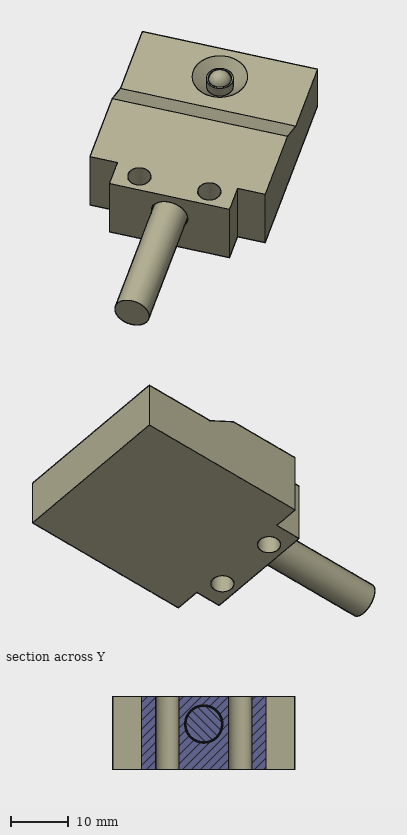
import cadquery as cq

width = 31.75
length = 38.1
height = 12.7
sensing_height = 9.7
sensing_length = 13.8
ramp_length = 5.25
tab_width = 21.75
tab_length = 5.05

mount_diameter = 4.0
mount_spacing = 12.65
mount_setback = 3.0

total_length = 61.75
cable_diameter = 6.25
cable_hole_diameter = 6.6
cable_axis_height = 7.9
cable_hole_depth = 6.2

ball_setback = 6.35
ball_radius = 2.05
ball_rise = 0.85
sleeve_diameter = 4.7
sleeve_recess = 0.5
countersink_diameter = 9.65

ball_y = length - ball_setback
ball_z = sensing_height + ball_rise - ball_radius
sleeve_bottom = ball_z - ball_radius
sleeve_top = sensing_height - sleeve_recess


def upright_cylinder(diameter, bottom, top):
    """Vertical cylinder on the ball axis."""
    return (
        cq.Workplane("XY", origin=(0, ball_y, bottom))
        .circle(diameter / 2)
        .extrude(top - bottom)
    )


def cable_cylinder(diameter, start_y, end_y):
    """Cylinder along Y on the cable axis."""
    return (
        cq.Workplane("XZ", origin=(0, end_y, cable_axis_height))
        .circle(diameter / 2)
        .extrude(end_y - start_y)
    )


def make_countersink():
    """Cone cutter that narrows to the sleeve diameter."""
    top_radius = countersink_diameter / 2
    bottom_radius = sleeve_diameter / 2
    depth = top_radius - bottom_radius
    return cq.Workplane(
        cq.Solid.makeCone(
            bottom_radius, top_radius, depth,
            pnt=cq.Vector(0, ball_y, sensing_height - depth),
        )
    )


def make_housing():
    ramp_end = length - sensing_length
    side_profile = [
        (0, 0),
        (length, 0),
        (length, sensing_height),
        (ramp_end, sensing_height),
        (ramp_end - ramp_length, height),
        (0, height),
    ]
    body = cq.Workplane("YZ").polyline(side_profile).close().extrude(width / 2, both=True)

    notch_width = (width - tab_width) / 2
    for side in (-1, 1):
        notch_x = side * (tab_width + notch_width) / 2
        notch = (
            cq.Workplane("XY")
            .center(notch_x, tab_length / 2)
            .rect(notch_width, tab_length)
            .extrude(height)
        )
        body = body.cut(notch)

    mount_holes = (
        cq.Workplane("XY")
        .pushPoints([(side * mount_spacing / 2, mount_setback) for side in (-1, 1)])
        .circle(mount_diameter / 2)
        .extrude(height)
    )
    body = body.cut(mount_holes)
    body = body.cut(cable_cylinder(cable_hole_diameter, 0, cable_hole_depth))
    body = body.cut(make_countersink())
    return body.cut(upright_cylinder(sleeve_diameter, sleeve_bottom, sensing_height))


def make_ball():
    return cq.Workplane("XY", origin=(0, ball_y, ball_z)).sphere(ball_radius)


def make_sleeve():
    """Tube around the ball; the ball rests in its bore."""
    bore_diameter = 2 * ball_radius
    outside = upright_cylinder(sleeve_diameter, sleeve_bottom, sleeve_top)
    return outside.cut(upright_cylinder(bore_diameter, sleeve_bottom, sleeve_top))


def make_cable():
    """Cable that reaches the bottom of its hole."""
    return cable_cylinder(cable_diameter, length - total_length, cable_hole_depth)


housing = make_housing()
sleeve = make_sleeve()
ball = make_ball()
cable = make_cable()

result = cq.Compound.makeCompound([housing.val(), sleeve.val(), ball.val(), cable.val()])